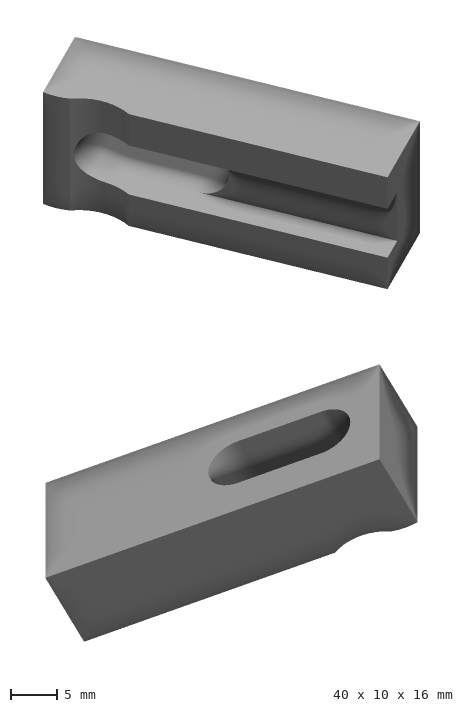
import cadquery as cq

length = 40.0
thickness = 10.0
height = 16.0

nose_length = 3.1
nose_sag = 0.15
scallop_end = 10.0
scallop_crown_x = 6.45
scallop_depth = 1.0

slot_width = 7.0
slot_start = slot_width / 2
slot_end = 20.5
groove_depth = 3.0


def make_body():
    """Block with a convex nose and a concave scallop along the clamping face."""
    return (
        cq.Workplane("XY")
        .moveTo(0, nose_sag)
        .threePointArc((nose_length / 2, 0), (nose_length, nose_sag))
        .threePointArc((scallop_crown_x, scallop_depth), (scallop_end, 0))
        .lineTo(length, 0)
        .lineTo(length, thickness)
        .lineTo(0, thickness)
        .close()
        .extrude(height / 2, both=True)
    )


def make_slot():
    """Round-ended slot cutting through the full thickness."""
    return (
        cq.Workplane("XZ")
        .center((slot_start + slot_end) / 2, 0)
        .slot2D(slot_end - slot_start, slot_width)
        .extrude(-thickness)
    )


def make_groove():
    """Shallow groove from the rounded end of the slot out through the +X end."""
    groove_start = slot_end - slot_width / 2
    return cq.Workplane("XY").box(
        length - groove_start, groove_depth, slot_width, centered=(False, False, True)
    ).translate((groove_start, 0, 0))


result = make_body().cut(make_slot()).cut(make_groove())